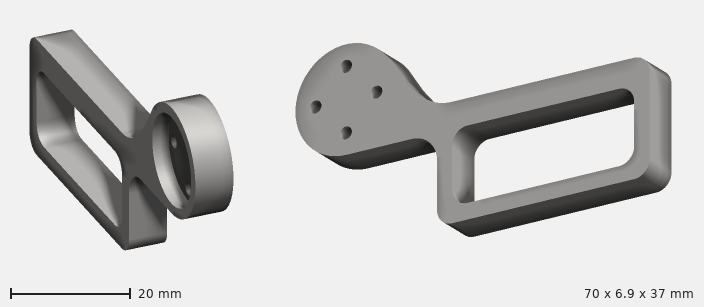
import cadquery as cq
import math

thickness = 6.9
overall_length = 70.0
overall_height = 37.0
frame_length = 42.0
frame_height = 22.0
wall = 3.0
corner_radius = 3.0

head_radius = 10.0
head_x = overall_length - head_radius
head_z = overall_height - head_radius
arm_bottom = head_z - head_radius
inner_fillet = 5.0
pocket_radius = 8.2
pocket_depth = 3.0

hole_count = 4
hole_diameter = 2.3
hole_circle_radius = 6.0

neck_start = (frame_length - corner_radius, frame_height)
neck_middle = (45.35, 24.6)
neck_end_angle = 149.5


def head_point(angle):
    """Point on the rim of the head, angle in degrees from +X."""
    a = math.radians(angle)
    return (head_x + head_radius * math.cos(a), head_z + head_radius * math.sin(a))


def make_body():
    """Extrude the outline from the front face (Y = 0) back to Y = thickness."""
    a = math.radians(neck_end_angle)
    rim_tangent = (-math.sin(a), math.cos(a))
    outline = (
        cq.Workplane("XZ")
        .lineTo(frame_length, 0)
        .lineTo(frame_length, arm_bottom)
        .lineTo(head_x, arm_bottom)
        .threePointArc(head_point(0), head_point(neck_end_angle))
        .spline([neck_middle, neck_start], tangents=[rim_tangent, (-1, 0)], includeCurrent=True)
        .lineTo(0, frame_height)
        .close()
    )
    body = outline.extrude(-thickness)
    for x, z, radius in (
        (0, 0, corner_radius),
        (0, frame_height, corner_radius),
        (frame_length, 0, corner_radius),
        (frame_length, arm_bottom, inner_fillet),
    ):
        near_corner = cq.selectors.NearestToPointSelector((x, thickness / 2, z))
        body = body.edges("|Y").edges(near_corner).fillet(radius)
    return body


def make_window():
    """Rounded opening of the frame, level with the arm underside at its top."""
    length = frame_length - 2 * wall
    height = arm_bottom - wall
    return (
        cq.Workplane("XZ")
        .center(frame_length / 2, wall + height / 2)
        .rect(length, height)
        .extrude(-thickness)
        .edges("|Y")
        .fillet(corner_radius)
    )


def make_pocket():
    """Round recess in the front face of the head."""
    return cq.Workplane("XZ").center(head_x, head_z).circle(pocket_radius).extrude(-pocket_depth)


def make_holes():
    return (
        cq.Workplane("XZ")
        .center(head_x, head_z)
        .polarArray(hole_circle_radius, 0, 360, hole_count)
        .circle(hole_diameter / 2)
        .extrude(-thickness)
    )


result = make_body().cut(make_window()).cut(make_pocket()).cut(make_holes())